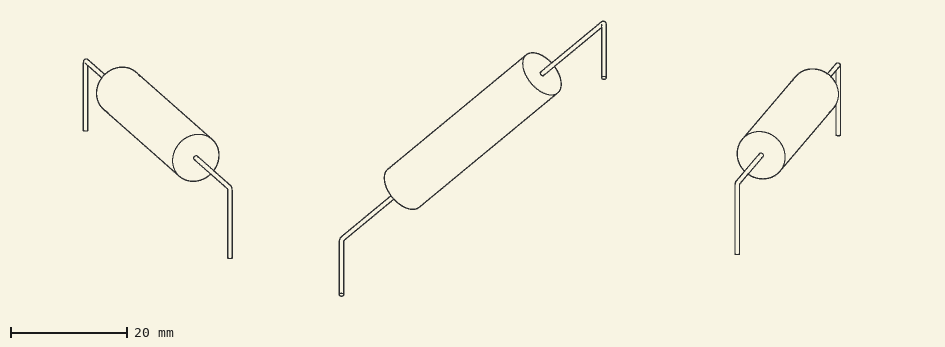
import cadquery as cq

overall_length = 72.9
overall_height = 17.0
body_diameter = 8.5
body_length = 38.05
wire_diameter = 0.8
bend_radius = 0.45

body_end = body_length / 2
lead_x = overall_length / 2 - wire_diameter / 2
lead_bottom = body_diameter / 2 - overall_height


def make_body():
    """Plain cylinder along X."""
    end_face = cq.Workplane("YZ", origin=(-body_end, 0, 0))
    return end_face.circle(body_diameter / 2).extrude(body_length)


def make_lead(side):
    """Round wire from one body end face, bent down to a vertical leg; side is -1 or +1."""
    bend_start = (side * (lead_x - bend_radius), 0)
    bend_end = (side * lead_x, -bend_radius)
    centreline = (
        cq.Workplane("XZ")
        .moveTo(side * body_end, 0)
        .lineTo(*bend_start)
        .tangentArcPoint(bend_end, relative=False)
        .lineTo(side * lead_x, lead_bottom)
    )
    end_face = cq.Workplane("YZ", origin=(side * body_end, 0, 0))
    return end_face.circle(wire_diameter / 2).sweep(centreline)


body = make_body()
leads = [make_lead(side) for side in (-1, 1)]

result = cq.Compound.makeCompound([body.val(), *[lead.val() for lead in leads]])